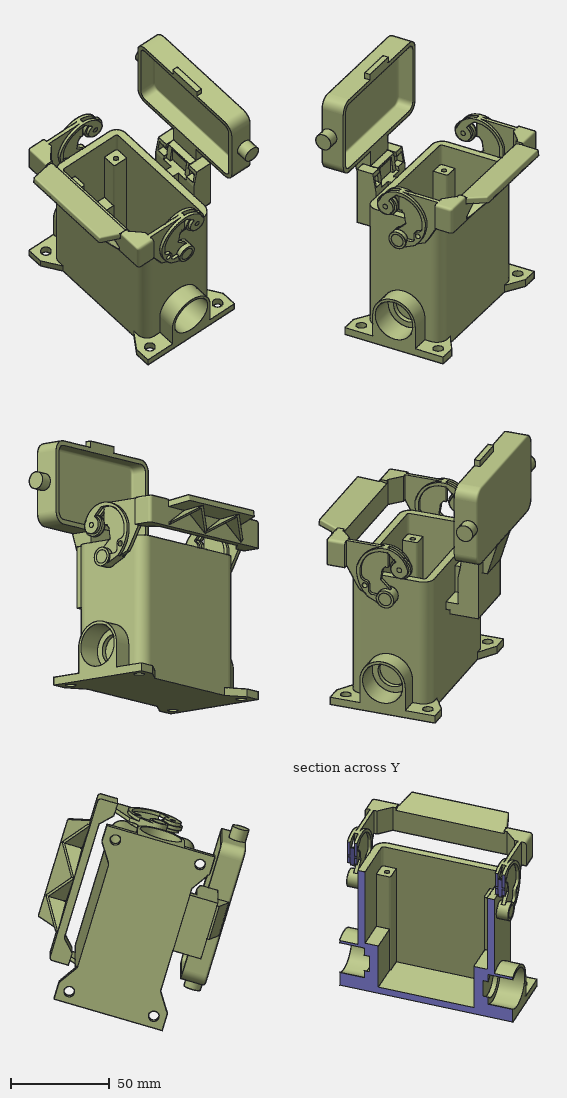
import cadquery as cq
BODY_LENGTH = 73.8
BODY_DEPTH = 43.8
BODY_HEIGHT = 73.0
CORNER_RADIUS = 6.0
WALL = 4.0
CAVITY_RADIUS = 1.3

FLANGE_LENGTH = 93.5
FLANGE_DEPTH = 57.0
FLANGE_HEIGHT = 4.1
FLANGE_FLAT_X = 37.8
FLANGE_ROOT_X = 27.7
SCREW_X = 40.9
SCREW_Y = 22.3
SCREW_RADIUS = 2.7

ENTRY_Z = 17.0
ENTRY_BOSS_RADIUS = 12.3
ENTRY_BORE_RADIUS = 10.9
ENTRY_BORE_DEPTH = 13.3
KNOCKOUT_RADIUS = 7.7
KNOCKOUT_DEPTH = 2.7
ENTRY_BLOCK_X = 25.7

POST_TOP = 61.3
POST_LENGTH = 7.7
POST_DEPTH = 8.2
POST_FILLET = 1.0
POST_HOLE_X = 28.5
POST_HOLE_Y = 13.5
POST_HOLE_RADIUS = 1.3
POST_HOLE_DEPTH = 10.6

PIVOT_Z = 63.2
PIVOT_RADIUS = 3.5

LEVER_HALF_LENGTH = 43.5
ARM_OUTER_X = 42.6
ARM_INNER_X = 37.3
WEB_OUTER_X = 40.9
WEB_INNER_X = 38.9
PIVOT_BOSS_RADIUS = 4.8
HOOK_Y = 7.4
HOOK_Z = 80.5
HOOK_RADIUS = 4.5
ARM_HOLE_Y = -11.4
ARM_HOLE_Z = 68.6
ARM_HOLE_RADIUS = 1.3
LEVER_TOP = 91.2
BAR_BOTTOM = 77.0
BAR_BACK_Y = -21.9
BAR_FRONT_Y = -32.0
BAR_INNER_Y = -27.9
BAR_FILLET = 1.0
BAR_SIDE_FILLET = 1.6
BAR_RECESS_BACK_X = 37.0
BAR_RECESS_FRONT_X = 30.8

GRIP_ROOT_X = 29.2
GRIP_TIP_X = 26.0
GRIP_TIP_Y = -43.1
GRIP_ROOT_TOP = 89.6
GRIP_TIP_TOP = 92.6
GRIP_ROOT_BOTTOM = 87.0
GRIP_TIP_BOTTOM = 89.3
GRIP_FILLET = 0.8
RIB_PITCH = 14.3
RIB_LOW_Z = 78.4
RIB_HIGH_Z = 88.0
RIB_THICKNESS = 1.3

ROLLER_RADIUS = 5.6
AXLE_RADIUS = 1.3

LID_BOTTOM = 86.4
LID_TOP = 129.4
LID_FRONT_Y = 35.0
LID_BACK_Y = 47.8
LID_WALL = 2.4
LID_CAVITY_DEPTH = 8.6
LID_CAVITY_RADIUS = 3.7
LID_EDGE_FILLET = 1.0
LID_PIN_Y = 43.1
LID_PIN_Z = 108.2
LID_PIN_RADIUS = 4.4
LID_PIN_END_X = 43.1
TAB_LENGTH = 18.8
TAB_DEPTH = 3.0
TAB_TOP = 132.7
TONGUE_HALF_LENGTH = 8.9
TONGUE_BOTTOM = 69.3
TONGUE_TOP_Y = 47.2
TONGUE_BOTTOM_Y = 41.9

BRACKET_HALF_LENGTH = 15.0
BRACKET_BACK_Y = 39.4
BRACKET_TOP = 77.8
BRACKET_TOP_Y = 30.3
BRACKET_FRONT_Y = 28.4
BRACKET_BOTTOM = 46.2
BRACKET_STEP_Y = 23.9
BRACKET_STEP_Z = 48.3
SHELF_TOP = 52.5
STEM_TOP = 67.3
STEM_HALF_LENGTH = 2.8
RECESS_HALF_LENGTH = 8.8
RECESS_TOP_Y = 31.5
RECESS_FLOOR_Y = 30.3
RECESS_TOP = 77.0
WINDOW_HALF_LENGTH = 5.8
WINDOW_DEPTH = 0.4
WINDOW_TOP = 75.9
EAR_POCKET_X = 13.8
EAR_POCKET_Y = 32.5
EAR_POCKET_BOTTOM = 69.7
EAR_POCKET_TOP = 75.4

BODY_X = BODY_LENGTH / 2
BODY_Y = BODY_DEPTH / 2
SIDES = (-1, 1)


def box(x0, x1, y0, y1, z0, z1):
    """Box between two opposite corners."""
    center = ((x0 + x1) / 2, (y0 + y1) / 2, (z0 + z1) / 2)
    return cq.Workplane("XY").box(abs(x1 - x0), abs(y1 - y0), abs(z1 - z0)).translate(center)


def rod(x0, x1, y, z, radius):
    """Cylinder along X."""
    return cq.Workplane("YZ", origin=(x0, 0, 0)).center(y, z).circle(radius).extrude(x1 - x0)


def plate(x0, x1, points):
    """Straight-sided (Y, Z) outline extruded along X."""
    return cq.Workplane("YZ", origin=(x0, 0, 0)).polyline(points).close().extrude(x1 - x0)


def make_flange():
    """Foot at each end, narrowing to the body through slanted corners."""
    end_x = FLANGE_LENGTH / 2
    end_y = FLANGE_DEPTH / 2
    outline = [
        (-end_x, -end_y), (-FLANGE_FLAT_X, -end_y), (-FLANGE_ROOT_X, -BODY_Y),
        (FLANGE_ROOT_X, -BODY_Y), (FLANGE_FLAT_X, -end_y), (end_x, -end_y),
        (end_x, end_y), (FLANGE_FLAT_X, end_y), (FLANGE_ROOT_X, BODY_Y),
        (-FLANGE_ROOT_X, BODY_Y), (-FLANGE_FLAT_X, end_y), (-end_x, end_y),
    ]
    flange = cq.Workplane("XY").polyline(outline).close().extrude(FLANGE_HEIGHT)
    return (
        flange.faces(">Z").workplane(origin=(0, 0, 0))
        .rect(2 * SCREW_X, 2 * SCREW_Y, forConstruction=True)
        .vertices().hole(2 * SCREW_RADIUS)
    )


def make_post(side_x, side_y):
    """Screw post in one corner of the cavity."""
    wall_x = side_x * (BODY_X - WALL)
    wall_y = side_y * (BODY_Y - WALL)
    post = box(
        wall_x, wall_x - side_x * POST_LENGTH, wall_y, wall_y - side_y * POST_DEPTH, FLANGE_HEIGHT, POST_TOP
    )
    drill = (
        cq.Workplane("XY", origin=(side_x * POST_HOLE_X, side_y * POST_HOLE_Y, POST_TOP))
        .circle(POST_HOLE_RADIUS).extrude(-POST_HOLE_DEPTH)
    )
    free_edge = "|Z and " + ("<X" if side_x > 0 else ">X") + " and " + ("<Y" if side_y > 0 else ">Y")
    return post.edges(free_edge).fillet(POST_FILLET).cut(drill)


def make_housing():
    body = box(-BODY_X, BODY_X, -BODY_Y, BODY_Y, 0, BODY_HEIGHT).edges("|Z").fillet(CORNER_RADIUS)
    cavity = box(
        WALL - BODY_X, BODY_X - WALL, WALL - BODY_Y, BODY_Y - WALL, FLANGE_HEIGHT, BODY_HEIGHT
    ).edges("|Z").fillet(CAVITY_RADIUS)
    end_x = FLANGE_LENGTH / 2
    bore_x = end_x - ENTRY_BORE_DEPTH

    housing = body.union(make_flange())
    for side in SIDES:
        housing = housing.union(rod(side * ENTRY_BLOCK_X, side * end_x, 0, ENTRY_Z, ENTRY_BOSS_RADIUS))
        housing = housing.union(
            box(side * ENTRY_BLOCK_X, side * end_x, -ENTRY_BOSS_RADIUS, ENTRY_BOSS_RADIUS, 0, ENTRY_Z)
        )
    housing = housing.cut(cavity)

    block_top = ENTRY_Z + ENTRY_BOSS_RADIUS
    for side in SIDES:
        block = box(
            side * ENTRY_BLOCK_X, side * (BODY_X - WALL), WALL - BODY_Y, BODY_Y - WALL, FLANGE_HEIGHT, block_top
        )
        housing = housing.union(block)
        for side_y in SIDES:
            housing = housing.union(make_post(side, side_y))
        housing = housing.cut(rod(side * bore_x, side * end_x, 0, ENTRY_Z, ENTRY_BORE_RADIUS))
        housing = housing.cut(
            rod(side * (bore_x - KNOCKOUT_DEPTH), side * bore_x, 0, ENTRY_Z, KNOCKOUT_RADIUS)
        )
        housing = housing.union(rod(side * BODY_X, side * LEVER_HALF_LENGTH, 0, PIVOT_Z, PIVOT_RADIUS))
    return housing


def make_hook_rib(x0, x1):
    """Curved rib from the pivot boss up and over to the round end that carries the roller."""
    rib = (
        cq.Workplane("YZ", origin=(x0, 0, 0))
        .moveTo(11.1, 83.2)
        .threePointArc((6.5, 89.0), (0.7, LEVER_TOP))
        .lineTo(-2.0, LEVER_TOP)
        .threePointArc((-11.4, 86.4), (-15.8, 78.3))
        .threePointArc((-14.6, 69.8), (-9.8, 62.6))
        .lineTo(-2.9, 59.5)
        .lineTo(0, PIVOT_Z)
        .lineTo(-4.6, 64.2)
        .lineTo(-7.4, 64.2)
        .threePointArc((-8.8, 64.9), (-9.3, 66.4))
        .lineTo(-9.3, 69.0)
        .threePointArc((-10.0, 70.5), (-11.4, 71.1))
        .threePointArc((-13.1, 72.2), (-13.8, 74.3))
        .lineTo(-13.8, 78.3)
        .threePointArc((-10.0, 85.6), (-3.0, 89.2))
        .lineTo(0.9, 89.2)
        .lineTo(5.0, 85.2)
        .lineTo(HOOK_Y, HOOK_Z)
        .close()
        .extrude(x1 - x0)
    )
    return rib.union(rod(x0, x1, HOOK_Y, HOOK_Z, HOOK_RADIUS))


def make_arm():
    """Arm on the -X side: a thin web between two hook ribs, with the pivot boss."""
    web = plate(-WEB_OUTER_X, -WEB_INNER_X, [
        (0.5, LEVER_TOP), (BAR_BACK_Y, LEVER_TOP), (BAR_BACK_Y, BAR_BOTTOM),
        (-16.5, 67.4), (-14.6, 64.8), (-9.8, 62.6), (-2.9, 59.5), (0, PIVOT_Z),
        (1.9, 67.5), (-3.5, 72.6), (-2.7, 78.0), (-1.0, 80.0), (0.5, 80.0),
    ])
    arm = web.union(make_hook_rib(-ARM_OUTER_X, -WEB_OUTER_X)).union(make_hook_rib(-WEB_INNER_X, -ARM_INNER_X))
    arm = arm.union(rod(-LEVER_HALF_LENGTH, -ARM_INNER_X, 0, PIVOT_Z, PIVOT_BOSS_RADIUS))
    for y, z, radius in (
        (0, PIVOT_Z, PIVOT_RADIUS),
        (HOOK_Y, HOOK_Z, AXLE_RADIUS),
        (ARM_HOLE_Y, ARM_HOLE_Z, ARM_HOLE_RADIUS),
    ):
        arm = arm.cut(rod(-LEVER_HALF_LENGTH, -ARM_INNER_X, y, z, radius))
    return arm


def make_bar():
    """Cross bar joining the two arms, hollowed from behind between slanted ends."""
    bar = box(-LEVER_HALF_LENGTH, LEVER_HALF_LENGTH, BAR_FRONT_Y, BAR_BACK_Y, BAR_BOTTOM, LEVER_TOP)
    bar = bar.edges("(|Z and <Y) or (|Y and >Z)").fillet(BAR_SIDE_FILLET)
    bar = bar.edges("|X and >Z and <Y").fillet(BAR_FILLET)
    hollow = (
        cq.Workplane("XY", origin=(0, 0, BAR_BOTTOM))
        .polyline([
            (-BAR_RECESS_BACK_X, BAR_BACK_Y), (-BAR_RECESS_FRONT_X, BAR_INNER_Y),
            (BAR_RECESS_FRONT_X, BAR_INNER_Y), (BAR_RECESS_BACK_X, BAR_BACK_Y),
        ])
        .close().extrude(LEVER_TOP - BAR_BOTTOM)
    )
    above_grip = plate(-GRIP_ROOT_X, GRIP_ROOT_X, [
        (BAR_INNER_Y, GRIP_ROOT_TOP), (GRIP_TIP_Y, GRIP_TIP_TOP),
        (GRIP_TIP_Y, TAB_TOP), (BAR_INNER_Y, TAB_TOP),
    ])
    return bar.cut(hollow).cut(above_grip)


def make_grip():
    """Upward-tilted finger plate, tapering towards its tip."""
    grip = plate(-GRIP_ROOT_X, GRIP_ROOT_X, [
        (BAR_INNER_Y, GRIP_ROOT_TOP), (GRIP_TIP_Y + BAR_FILLET / 2, GRIP_TIP_TOP),
        (GRIP_TIP_Y, GRIP_TIP_BOTTOM), (BAR_FRONT_Y, GRIP_ROOT_BOTTOM), (BAR_INNER_Y, GRIP_ROOT_BOTTOM),
    ])
    taper = (
        cq.Workplane("XY", origin=(0, 0, BAR_BOTTOM))
        .polyline([
            (-GRIP_ROOT_X, BAR_INNER_Y), (-GRIP_ROOT_X, BAR_FRONT_Y), (-GRIP_TIP_X, GRIP_TIP_Y),
            (GRIP_TIP_X, GRIP_TIP_Y), (GRIP_ROOT_X, BAR_FRONT_Y), (GRIP_ROOT_X, BAR_INNER_Y),
        ])
        .close().extrude(TAB_TOP - BAR_BOTTOM)
    )
    grip = grip.intersect(taper)
    return grip.edges("not >Y").edges(cq.selectors.BoxSelector(
        (-LEVER_HALF_LENGTH, GRIP_TIP_Y - 1.3, GRIP_ROOT_TOP), (LEVER_HALF_LENGTH, BAR_INNER_Y, TAB_TOP)
    )).fillet(GRIP_FILLET)


def make_grip_ribs():
    """Zigzag ribs under the grip, sloping back from its tip to the foot of the bar."""
    half = RIB_THICKNESS / 2
    envelope = plate(-2 * RIB_PITCH - half, 2 * RIB_PITCH + half, [
        (BAR_FRONT_Y, RIB_LOW_Z - half), (GRIP_TIP_Y, GRIP_TIP_BOTTOM), (BAR_FRONT_Y, GRIP_ROOT_BOTTOM),
    ])
    ribs = cq.Workplane("XZ")
    for start_x in (-2 * RIB_PITCH, 0):
        zigzag = (
            cq.Workplane("XZ", origin=(0, BAR_FRONT_Y, 0))
            .polyline([
                (start_x, RIB_LOW_Z - half), (start_x + RIB_PITCH, RIB_HIGH_Z - half),
                (start_x + 2 * RIB_PITCH, RIB_LOW_Z - half), (start_x + 2 * RIB_PITCH, RIB_LOW_Z + half),
                (start_x + RIB_PITCH, RIB_HIGH_Z + half), (start_x, RIB_LOW_Z + half),
            ])
            .close().extrude(BAR_FRONT_Y - GRIP_TIP_Y)
        )
        ribs = ribs.add(zigzag.intersect(envelope))
    return ribs


def make_lever():
    arm = make_arm()
    lever = make_bar().union(make_grip()).union(arm).union(arm.mirror("YZ"))
    for rib in make_grip_ribs().vals():
        lever = lever.union(cq.Workplane(rib))
    return lever


def make_roller(side):
    """Roller between the two hook ribs, with axle stubs in their holes."""
    wheel = rod(side * WEB_INNER_X, side * WEB_OUTER_X, HOOK_Y, HOOK_Z, ROLLER_RADIUS)
    axle = rod(side * ARM_INNER_X, side * ARM_OUTER_X, HOOK_Y, HOOK_Z, AXLE_RADIUS)
    return wheel.union(axle)


def make_tongue():
    """Hinge tongue hanging below the lid."""
    return plate(-TONGUE_HALF_LENGTH, TONGUE_HALF_LENGTH, [
        (LID_FRONT_Y, LID_BOTTOM), (TONGUE_TOP_Y, LID_BOTTOM),
        (TONGUE_BOTTOM_Y, TONGUE_BOTTOM), (LID_FRONT_Y, TONGUE_BOTTOM),
    ])


def make_lid():
    shell = box(-BODY_X, BODY_X, LID_FRONT_Y, LID_BACK_Y, LID_BOTTOM, LID_TOP)
    shell = shell.edges("|Y").fillet(CORNER_RADIUS).faces(">Y").edges().fillet(LID_EDGE_FILLET)
    cavity = box(
        LID_WALL - BODY_X, BODY_X - LID_WALL, LID_FRONT_Y, LID_FRONT_Y + LID_CAVITY_DEPTH,
        LID_BOTTOM + LID_WALL, LID_TOP - LID_WALL,
    )
    cavity = cavity.edges("|Y").fillet(LID_CAVITY_RADIUS).faces(">Y").edges().fillet(LID_EDGE_FILLET)
    tab = box(-TAB_LENGTH / 2, TAB_LENGTH / 2, LID_FRONT_Y, LID_FRONT_Y + TAB_DEPTH, LID_TOP, TAB_TOP)
    lid = shell.cut(cavity).union(tab).union(make_tongue())
    for side in SIDES:
        lid = lid.union(rod(side * (BODY_X - LID_WALL), side * LID_PIN_END_X, LID_PIN_Y, LID_PIN_Z, LID_PIN_RADIUS)
                        .cut(cavity))
    return lid


def make_bracket():
    half = BRACKET_HALF_LENGTH
    bracket = plate(-half, half, [
        (BRACKET_BACK_Y, BRACKET_BOTTOM), (BRACKET_BACK_Y, BRACKET_TOP), (BRACKET_TOP_Y, BRACKET_TOP),
        (BRACKET_FRONT_Y, STEM_TOP), (BRACKET_FRONT_Y, SHELF_TOP), (BODY_Y, SHELF_TOP),
        (BODY_Y, BRACKET_STEP_Z), (BRACKET_STEP_Y, BRACKET_STEP_Z), (BRACKET_STEP_Y, BRACKET_BOTTOM),
    ])
    stem = box(-STEM_HALF_LENGTH, STEM_HALF_LENGTH, BODY_Y, BRACKET_FRONT_Y, SHELF_TOP, STEM_TOP)
    recess = plate(-RECESS_HALF_LENGTH, RECESS_HALF_LENGTH, [
        (BODY_Y, STEM_TOP), (RECESS_FLOOR_Y, STEM_TOP), (RECESS_TOP_Y, RECESS_TOP),
        (LID_FRONT_Y, BRACKET_TOP), (BODY_Y, BRACKET_TOP),
    ])
    window = box(
        -WINDOW_HALF_LENGTH, WINDOW_HALF_LENGTH, BODY_Y, RECESS_TOP_Y + WINDOW_DEPTH, STEM_TOP, WINDOW_TOP
    )
    slot = box(
        -TONGUE_HALF_LENGTH, TONGUE_HALF_LENGTH, LID_FRONT_Y, BRACKET_BACK_Y, TONGUE_BOTTOM, BRACKET_TOP
    )
    bracket = bracket.union(stem).cut(recess).cut(window).cut(slot)
    for side in SIDES:
        bracket = bracket.cut(box(
            side * RECESS_HALF_LENGTH, side * EAR_POCKET_X, BODY_Y, EAR_POCKET_Y,
            EAR_POCKET_BOTTOM, EAR_POCKET_TOP,
        ))
    return bracket


housing = make_housing()
lever = make_lever()
lid = make_lid()
bracket = make_bracket()
rollers = [make_roller(side).val() for side in SIDES]

result = cq.Compound.makeCompound([housing.val(), lever.val(), lid.val(), bracket.val(), *rollers])